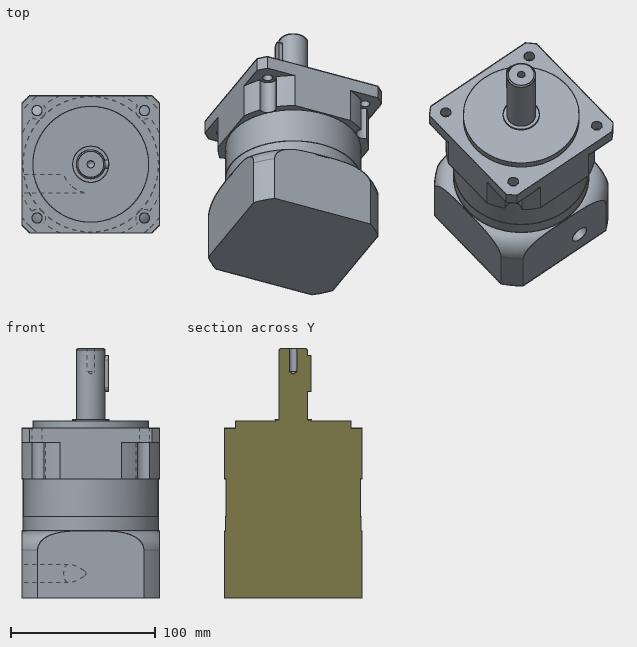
import cadquery as cq
import math

total_height = 172.5
square_side = 95.0
half_side = square_side / 2

base_top = 46.5
ring_top = 56.4
body_top = 82.5
flange_bottom = 107.6
flange_top = 117.5
pilot_top = 122.5
collar_top = 123.3

base_corner_diameter = 120.0
base_shoulder_radius = 13.3

ring_diameter = 93.8
body_diameter = 93.5

housing_corner_diameter = 104.0
flange_chamfer = 5.3
bolt_spacing = 74.2
bolt_hole_diameter = 7.0
bolt_relief_diameter = 11.9

pilot_diameter = 80.0
collar_diameter = 25.0
shaft_diameter = 20.0
shaft_chamfer = 1.0

centre_hole_diameter = 5.0
centre_hole_depth = 16.0
drill_point_angle = 118.0

key_width = 6.0
key_length = 25.0
key_bottom = 142.7
key_outer_x = 12.5

access_diameter = 12.6
access_y = -13.5
access_z = 17.0
hub_diameter = 40.0


def cylinder(diameter, bottom, top):
    return cq.Workplane("XY").workplane(offset=bottom).circle(diameter / 2).extrude(top - bottom)


def square_block(bottom, top):
    return cq.Workplane("XY").workplane(offset=bottom).rect(square_side, square_side).extrude(top - bottom)


def at_bolts(bottom, diameter, height):
    """Four cylinders on the bolt pattern."""
    return (
        cq.Workplane("XY")
        .workplane(offset=bottom)
        .rect(bolt_spacing, bolt_spacing, forConstruction=True)
        .vertices()
        .circle(diameter / 2)
        .extrude(height)
    )


def adapter_base():
    """Square block with round corners and a rounded upper shoulder."""
    dome = cylinder(base_corner_diameter, 0, base_top).faces(">Z").edges().fillet(base_shoulder_radius)
    return square_block(0, base_top).intersect(dome)


def access_hole():
    """Radial tool that stops on the surface of the hub."""
    drill = (
        cq.Workplane("YZ")
        .workplane(offset=-half_side)
        .center(access_y, access_z)
        .circle(access_diameter / 2)
        .extrude(half_side)
    )
    return drill.cut(cylinder(hub_diameter, 0, base_top))


def output_housing():
    """Square housing with round corners, relieved behind each bolt hole."""
    rounding = cylinder(housing_corner_diameter, body_top, flange_bottom)
    housing = square_block(body_top, flange_bottom).intersect(rounding)
    return housing.cut(at_bolts(body_top, bolt_relief_diameter, flange_bottom - body_top))


def mounting_flange():
    flange = square_block(flange_bottom, flange_top).edges("|Z").chamfer(flange_chamfer)
    return flange.cut(at_bolts(flange_bottom, bolt_hole_diameter, flange_top - flange_bottom))


def output_shaft():
    return cylinder(shaft_diameter, pilot_top, total_height).faces(">Z").edges().chamfer(shaft_chamfer)


def shaft_key():
    """Round-ended key standing out of the +X side of the shaft."""
    return (
        cq.Workplane("YZ")
        .center(0, key_bottom + key_length / 2)
        .slot2D(key_length, key_width, 90)
        .extrude(key_outer_x)
    )


def centre_hole():
    """Drilled hole with a conical bottom."""
    radius = centre_hole_diameter / 2
    point_height = radius / math.tan(math.radians(drill_point_angle / 2))
    shoulder_z = total_height - centre_hole_depth
    return (
        cq.Workplane("XZ")
        .moveTo(0, total_height)
        .lineTo(radius, total_height)
        .lineTo(radius, shoulder_z)
        .lineTo(0, shoulder_z - point_height)
        .close()
        .revolve(360, (0, 0, 0), (0, 1, 0))
    )


result = (
    adapter_base()
    .cut(access_hole())
    .union(cylinder(ring_diameter, base_top, ring_top))
    .union(cylinder(body_diameter, ring_top, body_top))
    .union(output_housing())
    .union(mounting_flange())
    .union(cylinder(pilot_diameter, flange_top, pilot_top))
    .union(cylinder(collar_diameter, pilot_top, collar_top))
    .union(output_shaft())
    .union(shaft_key())
    .cut(centre_hole())
)